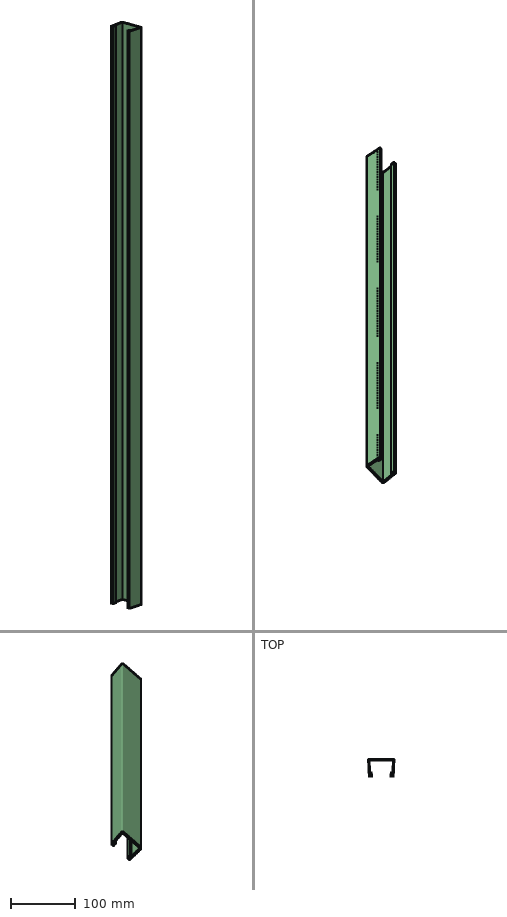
import cadquery as cq
import math


length = 945.01
width = 40.53
height = 27.0

thickness = 2.0
corner_radius = 2.1
wall_lean = math.radians(2.75)

strip_height = 6.0
strip_depth = 2.5

web_outer_y = height / 2
web_inner_y = web_outer_y - thickness
wall_end_y = -height / 2

outward = cq.Vector(math.cos(wall_lean), -math.sin(wall_lean))
toward_web = cq.Vector(math.sin(wall_lean), math.cos(wall_lean))

corner_center = cq.Vector(width / 2 - corner_radius, web_outer_y - corner_radius)
corner_web_end = corner_center + cq.Vector(0, corner_radius)
corner_wall_end = corner_center + outward * corner_radius
corner_mid_angle = (math.pi / 2 - wall_lean) / 2
corner_mid_direction = cq.Vector(math.cos(corner_mid_angle), math.sin(corner_mid_angle))
corner_middle = corner_center + corner_mid_direction * corner_radius

wall_length = (corner_wall_end.y - wall_end_y) / math.cos(wall_lean)
wall_outer_end = corner_wall_end - toward_web * wall_length
wall_inner_end = wall_outer_end - outward * thickness
inner_face_length = (web_inner_y - wall_inner_end.y) / math.cos(wall_lean)
inner_corner = wall_inner_end + toward_web * inner_face_length


def on_side(point, side):
    """X and Y of a point of the +X half, mirrored in X when side is -1."""
    return (side * point.x, point.y)


def make_channel():
    return (
        cq.Workplane("XY")
        .moveTo(*on_side(corner_web_end, -1))
        .lineTo(*on_side(corner_web_end, 1))
        .threePointArc(on_side(corner_middle, 1), on_side(corner_wall_end, 1))
        .lineTo(*on_side(wall_outer_end, 1))
        .lineTo(*on_side(wall_inner_end, 1))
        .lineTo(*on_side(inner_corner, 1))
        .lineTo(*on_side(inner_corner, -1))
        .lineTo(*on_side(wall_inner_end, -1))
        .lineTo(*on_side(wall_outer_end, -1))
        .lineTo(*on_side(corner_wall_end, -1))
        .threePointArc(on_side(corner_middle, -1), on_side(corner_web_end, -1))
        .close()
        .extrude(length)
    )


def make_grip_strip(side):
    """Rectangular strip lying on the inner face of one wall, flush with its free edge."""
    across = outward * -strip_depth
    along = toward_web * strip_height
    corners = [
        wall_inner_end,
        wall_inner_end + across,
        wall_inner_end + across + along,
        wall_inner_end + along,
    ]
    outline = [on_side(corner, side) for corner in corners]
    return cq.Workplane("XY").polyline(outline).close().extrude(length)


channel = make_channel()
grip_strips = [make_grip_strip(side) for side in (-1, 1)]

result = cq.Compound.makeCompound([channel.val(), *[strip.val() for strip in grip_strips]])